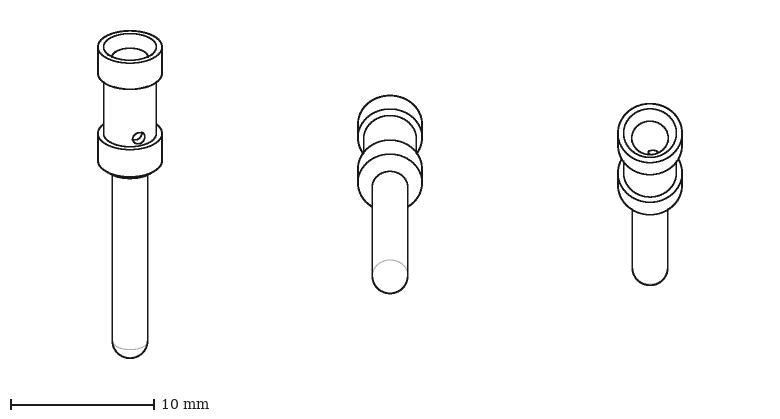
import cadquery as cq
import math

length = 25.0
collar_radius = 4.5 / 2
sleeve_radius = 3.7 / 2

pin_radius = 2.5 / 2

shoulder_bottom_z = 15.1
lower_collar_bottom_z = 15.8
lower_collar_top_z = 18.0
upper_collar_bottom_z = 22.88
collar_taper_height = 0.22

shoulder_mid_radius = 1.88
shoulder_mid_z = 15.45

bore_radius = 2.55 / 2
bore_mouth_radius = sleeve_radius
bore_mouth_depth = 0.85
bore_floor_z = lower_collar_top_z
drill_point_angle = 118.0

inspection_radius = 0.9 / 2
inspection_z = 18.62


def make_body():
    """Solid turned body, revolved about Z."""
    tip_mid = pin_radius * math.sqrt(0.5)
    profile = (
        cq.Workplane("XZ")
        .moveTo(0, 0)
        .threePointArc((tip_mid, pin_radius - tip_mid), (pin_radius, pin_radius))
        .lineTo(pin_radius, shoulder_bottom_z)
        .threePointArc(
            (shoulder_mid_radius, shoulder_mid_z),
            (collar_radius, lower_collar_bottom_z),
        )
        .lineTo(collar_radius, lower_collar_top_z)
        .lineTo(sleeve_radius, lower_collar_top_z)
        .lineTo(sleeve_radius, upper_collar_bottom_z - collar_taper_height)
        .lineTo(collar_radius, upper_collar_bottom_z)
        .lineTo(collar_radius, length)
        .lineTo(0, length)
        .close()
    )
    return profile.revolve(360, (0, 0, 0), (0, 1, 0))


def make_bore():
    """Wire bore with a conical mouth and a drill-point floor."""
    point_depth = bore_radius / math.tan(math.radians(drill_point_angle / 2))
    profile = (
        cq.Workplane("XZ")
        .moveTo(0, bore_floor_z - point_depth)
        .lineTo(bore_radius, bore_floor_z)
        .lineTo(bore_radius, length - bore_mouth_depth)
        .lineTo(bore_mouth_radius, length)
        .lineTo(0, length)
        .close()
    )
    return profile.revolve(360, (0, 0, 0), (0, 1, 0))


def make_inspection_hole():
    """Radial hole from the bore axis out through the +X wall."""
    return (
        cq.Workplane("YZ")
        .center(0, inspection_z)
        .circle(inspection_radius)
        .extrude(collar_radius)
    )


result = make_body().cut(make_bore()).cut(make_inspection_hole())